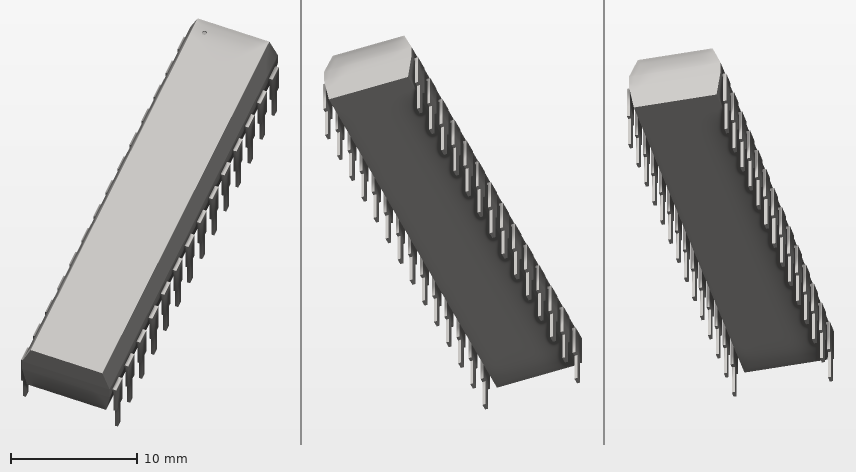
import cadquery as cq


body_length = 35.55
body_width = 7.45
top_width = 6.1
bottom_width = 6.75
end_taper = 0.15
body_top = 7.6
belt_top = 5.97
belt_bottom = 4.95
body_bottom = 2.9

overall_width = 8.1
leads_per_side = 14
lead_row_length = 33.05
lead_thickness = 0.25
lead_top = 5.25
shoulder_width = 1.3
shoulder_bottom = 2.52
tip_width = 0.57
lead_embed = 0.18

mark_diameter = 0.4
mark_depth = 0.1
mark_x = -2.03

lead_pitch = lead_row_length / (leads_per_side - 1)
first_lead_y = lead_row_length / 2
tapered_length = body_length - 2 * end_taper


def tapered_block(start_z, start_size, end_z, end_size):
    """Frustum between two centred rectangles, each given as (X size, Y size)."""
    return (
        cq.Workplane("XY", origin=(0, 0, start_z))
        .rect(*start_size)
        .workplane(offset=end_z - start_z)
        .rect(*end_size)
        .loft(ruled=True)
    )


def make_body():
    """Straight belt with a tapered cap above and below it."""
    belt_size = (body_width, body_length)
    belt = cq.Workplane("XY", origin=(0, 0, belt_bottom)).rect(*belt_size).extrude(belt_top - belt_bottom)
    upper = tapered_block(belt_top, belt_size, body_top, (top_width, tapered_length))
    lower = tapered_block(body_bottom, (bottom_width, tapered_length), belt_bottom, belt_size)
    return belt.union(upper).union(lower)


def plate(x_min, x_max, width, z_min, z_max):
    """Box centred on Y = 0."""
    return (
        cq.Workplane("XY", origin=((x_min + x_max) / 2, 0, z_min))
        .rect(x_max - x_min, width)
        .extrude(z_max - z_min)
    )


def make_lead():
    """Lead on the +X side: short root, wide shoulder and narrow tip."""
    outer_x = overall_width / 2
    inner_x = outer_x - lead_thickness
    root_x = body_width / 2 - lead_embed
    root = plate(root_x, outer_x, shoulder_width, lead_top - lead_thickness, lead_top)
    shoulder = plate(inner_x, outer_x, shoulder_width, shoulder_bottom, lead_top)
    tip = plate(inner_x, outer_x, tip_width, 0, shoulder_bottom)
    return root.union(shoulder).union(tip)


def make_pin_one_mark():
    """Shallow round recess in the top face, in line with the first lead."""
    return (
        cq.Workplane("XY", origin=(mark_x, first_lead_y, body_top - mark_depth))
        .circle(mark_diameter / 2)
        .extrude(mark_depth)
    )


result = make_body().cut(make_pin_one_mark())
right_lead = make_lead()
left_lead = right_lead.mirror("YZ")
for index in range(leads_per_side):
    lead_y = first_lead_y - index * lead_pitch
    for lead in (left_lead, right_lead):
        result = result.union(lead.translate((0, lead_y, 0)))